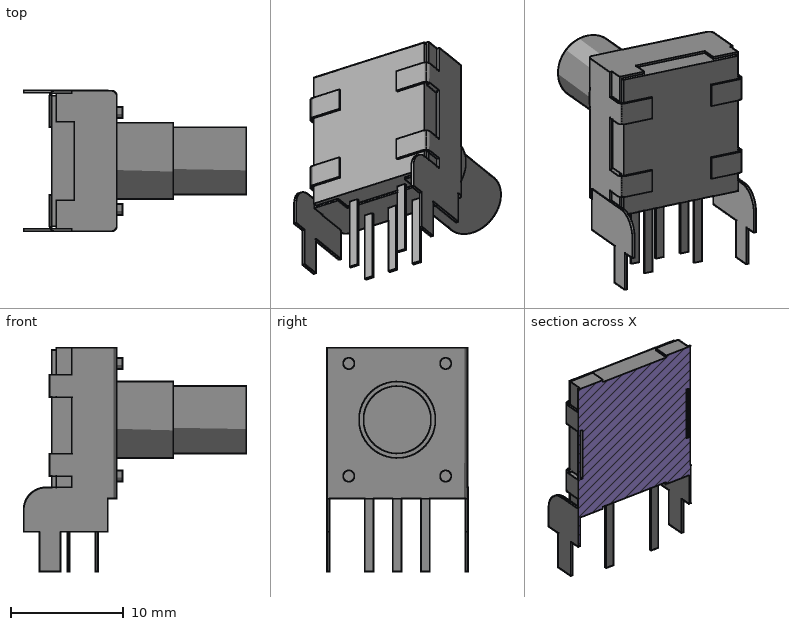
import cadquery as cq

collar_diameter = 6.8
collar_length = 5.0
shaft_diameter = 6.0
shaft_end_x = 11.5

peg_diameter = 1.0
peg_length = 0.5
peg_offset_y = 4.3
peg_offset_z = 5.0

cover_width = 12.5
top_z = 6.4
bottom_z = -7.0
cover_front_thickness = 0.2
cover_side_thickness = 0.25
cover_bend_radius = 0.5
cover_rear_x = -4.0

tab_height = 2.0
tab_centres_z = (3.0, -4.0)
tab_reach_y = 3.0
tab_thickness = 0.2

base_half_width = cover_width / 2 - cover_side_thickness
shoulder_x = -5.4
base_rear_x = -5.8
rear_inset = 0.2
notch_front_x = -3.8
end_notch_width = 7.0
side_notch_height = 5.0
side_notch_centre_z = sum(tab_centres_z) / len(tab_centres_z)

bracket_thickness = 0.25
bracket_rear_x = -8.3
bracket_front_x = -0.8
bracket_top_z = -6.0
bracket_bottom_z = -9.95
bracket_corner_radius = 2.0
far_bracket_overhang = 0.05
near_bracket_outer_y = -cover_width / 2
far_bracket_outer_y = cover_width / 2 + far_bracket_overhang
leg_rear_x = -6.9
leg_front_x = -5.0

lead_tip_z = -13.5
terminal_width = 0.8
terminal_pitch = 2.5
rear_row_x = -4.3
rear_row_thickness = 0.2
front_row_x = -1.8
front_row_thickness = 0.25


def block(x_range, y_range, z_range):
    """Box between the given limits on each axis."""
    spans = (x_range, y_range, z_range)
    sizes = [high - low for low, high in spans]
    corner = tuple(low for low, high in spans)
    return cq.Workplane("XY").box(*sizes, centered=False).translate(corner)


def cylinder_x(diameter, length, y=0.0, z=0.0):
    """Cylinder along +X standing on the mounting face."""
    return cq.Workplane("YZ").center(y, z).circle(diameter / 2).extrude(length)


def make_base():
    """Moulded block with an inset rear slab and shallow notches in all four sides."""
    half_slab = base_half_width - rear_inset
    slab_bottom_z = bottom_z + rear_inset
    slab_top_z = top_z - rear_inset
    body = block(
        (shoulder_x, -cover_front_thickness), (-base_half_width, base_half_width), (bottom_z, top_z)
    )
    slab = block((base_rear_x, shoulder_x), (-half_slab, half_slab), (slab_bottom_z, slab_top_z))
    notch_x = (shoulder_x, notch_front_x)
    end_notch_y = (-end_notch_width / 2, end_notch_width / 2)
    for end_notch_z in ((slab_top_z, top_z), (bottom_z, slab_bottom_z)):
        body = body.cut(block(notch_x, end_notch_y, end_notch_z))
    side_notch_z = (side_notch_centre_z - side_notch_height / 2, side_notch_centre_z + side_notch_height / 2)
    for side_notch_y in ((-base_half_width, -half_slab), (half_slab, base_half_width)):
        body = body.cut(block(notch_x, side_notch_y, side_notch_z))
    return body.union(slab)


def make_cover():
    """Channel-shaped cover with rounded front corners."""
    outside = block((cover_rear_x, 0), (-cover_width / 2, cover_width / 2), (bottom_z, top_z))
    outside = outside.edges("|Z and >X").fillet(cover_bend_radius)
    inside = block(
        (cover_rear_x, -cover_front_thickness), (-base_half_width, base_half_width), (bottom_z, top_z)
    )
    return outside.cut(inside)


def make_tab(centre_z):
    """Clip tab on the -Y side, bent inward across the rear of the base."""
    outer_y = -cover_width / 2
    outer_x = base_rear_x - tab_thickness
    low_z = centre_z - tab_height / 2
    high_z = centre_z + tab_height / 2
    outside = block((outer_x, cover_rear_x), (outer_y, -tab_reach_y), (low_z, high_z))
    outside = outside.edges("|Z and <X and <Y").fillet(cover_bend_radius)
    inside = block((base_rear_x, cover_rear_x), (-base_half_width, -tab_reach_y), (low_z, high_z))
    return outside.cut(inside)


def make_bracket(low_y):
    """Flat bracket with one rounded corner and a leg below it."""
    y_range = (low_y, low_y + bracket_thickness)
    plate = block((bracket_rear_x, bracket_front_x), y_range, (bracket_bottom_z, bracket_top_z))
    plate = plate.edges("|Y and <X and >Z").fillet(bracket_corner_radius)
    leg = block((leg_rear_x, leg_front_x), y_range, (lead_tip_z, bracket_bottom_z))
    return plate.union(leg, clean=False)


def make_terminal(centre_x, centre_y, thickness, start_z):
    """Flat terminal hanging from the underside of the base."""
    return block(
        (centre_x - thickness / 2, centre_x + thickness / 2),
        (centre_y - terminal_width / 2, centre_y + terminal_width / 2),
        (lead_tip_z, start_z),
    )


cover = make_cover()
for tab_z in tab_centres_z:
    tab = make_tab(tab_z)
    cover = cover.union(tab).union(tab.mirror("XZ"))

parts = [cover]
parts.append(cylinder_x(collar_diameter, collar_length))
parts.append(cylinder_x(shaft_diameter, shaft_end_x))

for side in (-1, 1):
    for peg_z in (-peg_offset_z, peg_offset_z):
        parts.append(cylinder_x(peg_diameter, peg_length, side * peg_offset_y, peg_z))

parts.append(make_bracket(near_bracket_outer_y))
parts.append(make_bracket(far_bracket_outer_y - bracket_thickness))

for row_y in (-terminal_pitch, terminal_pitch):
    parts.append(make_terminal(rear_row_x, row_y, rear_row_thickness, bottom_z + rear_inset))
for row_y in (-terminal_pitch, 0, terminal_pitch):
    parts.append(make_terminal(front_row_x, row_y, front_row_thickness, bottom_z))

result = make_base()
for piece in parts:
    result = result.union(piece, clean=False)